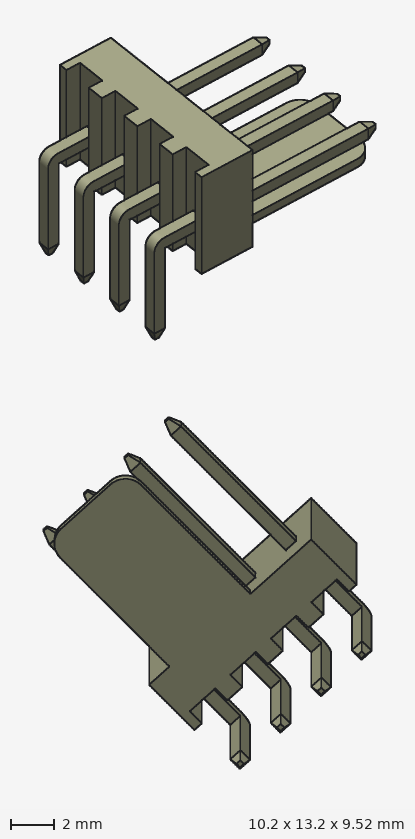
import cadquery as cq

pin_count = 4
pitch = 2.54
pin_width = 0.64
pin_tip_width = 0.24
pin_tip_length = 0.6
bend_radius = 0.6

housing_length = pin_count * pitch
housing_depth = 3.0
housing_height = 5.8

groove_width = 1.6
groove_depth = 0.8

tab_width = 2 * pitch
tab_thickness = 0.5
tab_corner_radius = 1.0

pin_axis_z = 2.0
mating_length = 8.2
tail_offset = 2.0
total_height = 9.52

rear_y = -housing_depth
tail_back_y = rear_y - tail_offset
tail_axis_y = tail_back_y + pin_width / 2
tail_bottom_z = housing_height - total_height
pin_top_z = pin_axis_z + pin_width / 2

pin_xs = [(i - (pin_count - 1) / 2) * pitch for i in range(pin_count)]
tab_center_x = (pin_xs[1] + pin_xs[-1]) / 2


def box_between(x_range, y_range, z_range):
    """Box from its lower and upper limits along each axis."""
    (x0, x1), (y0, y1), (z0, z1) = x_range, y_range, z_range
    return cq.Workplane("XY").box(x1 - x0, y1 - y0, z1 - z0, centered=False).translate((x0, y0, z0))


def around(center, width):
    """Limits of a span of the given width about its centre."""
    return center - width / 2, center + width / 2


def make_tip(base_plane):
    """Square pin end tapering along the normal of its base plane."""
    return (
        cq.Workplane(base_plane)
        .rect(pin_width, pin_width)
        .workplane(offset=pin_tip_length)
        .rect(pin_tip_width, pin_tip_width)
        .loft(ruled=True)
    )


def make_pin(x):
    """Right-angle square pin with tapered ends."""
    mating_shoulder_y = mating_length - pin_tip_length
    tail_shoulder_z = tail_bottom_z + pin_tip_length
    across = around(x, pin_width)

    straight = box_between(across, (tail_back_y, mating_shoulder_y), around(pin_axis_z, pin_width))
    tail = box_between(across, around(tail_axis_y, pin_width), (tail_shoulder_z, pin_top_z))
    bent = straight.union(tail)
    outer_corner = cq.selectors.NearestToPointSelector((x, tail_back_y, pin_top_z))
    bent = bent.edges("|X").edges(outer_corner).fillet(bend_radius)

    mating_base = cq.Plane((x, mating_shoulder_y, pin_axis_z), xDir=(1, 0, 0), normal=(0, 1, 0))
    tail_base = cq.Plane((x, tail_axis_y, tail_shoulder_z), xDir=(1, 0, 0), normal=(0, 0, -1))
    return bent.union(make_tip(mating_base)).union(make_tip(tail_base))


def make_tab():
    """Flat locking tab with rounded free corners."""
    tab = box_between(around(tab_center_x, tab_width), (0, mating_length), (0, tab_thickness))
    return tab.edges("|Z and >Y").fillet(tab_corner_radius)


def make_housing():
    """Block with its tab, rear grooves and square pin holes."""
    block = box_between(around(0, housing_length), (rear_y, 0), (0, housing_height))
    housing = block.union(make_tab())
    for x in pin_xs:
        groove = box_between(
            around(x, groove_width), (rear_y, rear_y + groove_depth), (0, housing_height)
        )
        hole = box_between(around(x, pin_width), (rear_y, 0), around(pin_axis_z, pin_width))
        housing = housing.cut(groove).cut(hole)
    return housing


housing = make_housing()
pins = [make_pin(x) for x in pin_xs]

result = cq.Compound.makeCompound([*housing.solids().vals(), *[pin.solids().val() for pin in pins]])